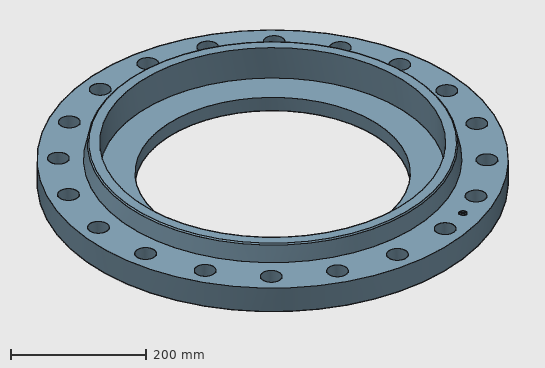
import cadquery as cq

face_height = 6.0
flange_thickness = 42.0
hub_height = 29.0
flange_top = face_height + flange_thickness
total_height = flange_top + hub_height
recess_floor = 24.0

flange_diameter = 698.0
raised_face_diameter = 595.0
hub_base_diameter = 561.0
hub_top_diameter = 549.0
hub_edge_chamfer = 2.0
recess_diameter = 512.5
bore_diameter = 408.0

bolt_circle_diameter = 635.0
bolt_count = 20
bolt_hole_diameter = 32.0

marker_outer_diameter = 12.5
marker_inner_diameter = 7.0
marker_step_depth = 2.0


def turned_body():
    """Ring with a raised face below, a tapered hub above and a stepped bore."""
    flange_radius = flange_diameter / 2
    face_radius = raised_face_diameter / 2
    hub_top_radius = hub_top_diameter / 2
    profile = [
        (bore_diameter / 2, 0),
        (face_radius, 0),
        (face_radius, face_height),
        (flange_radius, face_height),
        (flange_radius, flange_top),
        (hub_base_diameter / 2, flange_top),
        (hub_top_radius, total_height - hub_edge_chamfer),
        (hub_top_radius - hub_edge_chamfer, total_height),
        (recess_diameter / 2, total_height),
        (recess_diameter / 2, recess_floor),
        (bore_diameter / 2, recess_floor),
    ]
    return cq.Workplane("XZ").polyline(profile).close().revolve(360, (0, 0, 0), (0, 1, 0))


def bolt_holes():
    """Through holes evenly spaced on the bolt circle, the first on +X."""
    return (
        cq.Workplane("XY")
        .polarArray(bolt_circle_diameter / 2, 0, 360, bolt_count)
        .circle(bolt_hole_diameter / 2)
        .extrude(total_height)
    )


def marker_recess():
    """Two-step blind recess in the flange top, midway between the first two bolt holes."""
    half_pitch = 360 / bolt_count / 2
    recess = (
        cq.Workplane("XY", origin=(bolt_circle_diameter / 2, 0, flange_top))
        .circle(marker_outer_diameter / 2)
        .extrude(-marker_step_depth)
        .faces("<Z")
        .workplane()
        .circle(marker_inner_diameter / 2)
        .extrude(marker_step_depth)
    )
    return recess.rotate((0, 0, 0), (0, 0, 1), half_pitch)


result = turned_body().cut(bolt_holes()).cut(marker_recess())